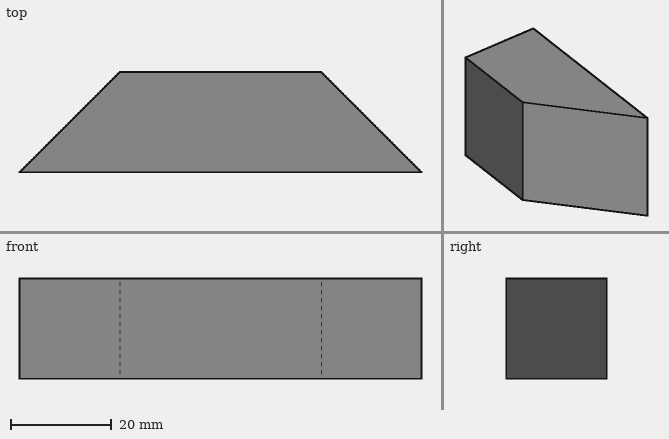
import cadquery as cq

length = 80.0
section = 20.0
miter_run = section

half_length = length / 2
half_short_side = half_length - miter_run
half_depth = section / 2

outline = [
    (-half_length, -half_depth),
    (half_length, -half_depth),
    (half_short_side, half_depth),
    (-half_short_side, half_depth),
]

result = cq.Workplane("XY").polyline(outline).close().extrude(half_depth, both=True)